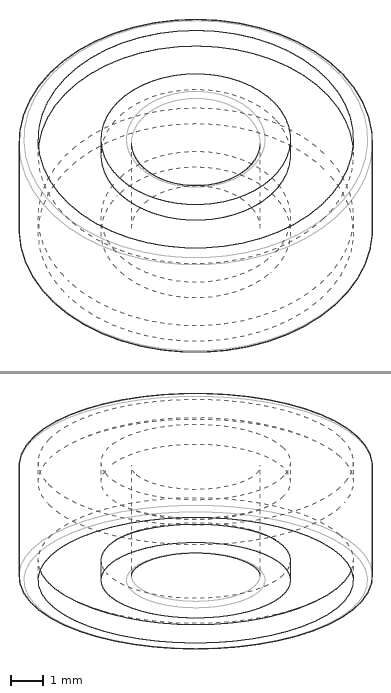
import cadquery as cq

outer_diameter = 11.0
bore_diameter = 4.0
width = 4.0
outer_ring_inner_diameter = 9.81
inner_ring_outer_diameter = 5.9
corner_radius = 0.15
shoulder_depth = 0.67
bulge_height = 0.33

half_width = width / 2
outer_radius = outer_diameter / 2
bore_radius = bore_diameter / 2
groove_outer_radius = outer_ring_inner_diameter / 2
groove_inner_radius = inner_ring_outer_diameter / 2
groove_mid_radius = (groove_outer_radius + groove_inner_radius) / 2
edge_z = half_width - shoulder_depth
crown_z = edge_z + bulge_height


def bearing_section():
    """Half section of the rings and the filling between them, in the XZ plane."""
    return (
        cq.Workplane("XZ")
        .moveTo(bore_radius, -half_width)
        .lineTo(groove_inner_radius, -half_width)
        .lineTo(groove_inner_radius, -edge_z)
        .threePointArc((groove_mid_radius, -crown_z), (groove_outer_radius, -edge_z))
        .lineTo(groove_outer_radius, -half_width)
        .lineTo(outer_radius, -half_width)
        .lineTo(outer_radius, half_width)
        .lineTo(groove_outer_radius, half_width)
        .lineTo(groove_outer_radius, edge_z)
        .threePointArc((groove_mid_radius, crown_z), (groove_inner_radius, edge_z))
        .lineTo(groove_inner_radius, half_width)
        .lineTo(bore_radius, half_width)
        .close()
    )


def round_ring_corners(body):
    """Round the outer rim and the bore mouth on both end faces."""
    bore_edges = cq.selectors.RadiusNthSelector(0)
    rim_edges = cq.selectors.RadiusNthSelector(-1)
    rounded_bore = body.faces("<Z or >Z").edges(bore_edges).fillet(corner_radius)
    return rounded_bore.faces("<Z or >Z").edges(rim_edges).fillet(corner_radius)


blank = bearing_section().revolve(360, (0, 0, 0), (0, 1, 0))
result = round_ring_corners(blank)